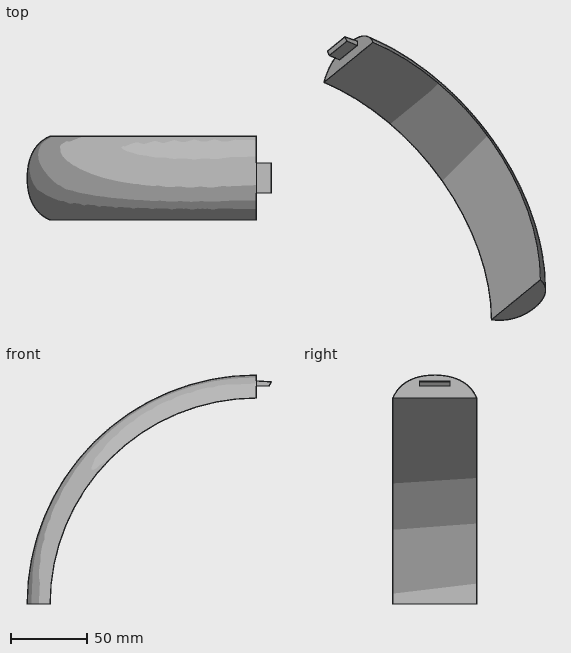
import cadquery as cq

outer_radius = 150.0
section_depth = 15.2
section_width = 55.0
shoulder_half_width = 19.8
shoulder_drop = 5.5
sweep_angle = 90

overall_length = 160
tongue_width = 19.8
tongue_thickness = 3.5
tongue_top_drop = 3.8
tongue_tip_drop = 0.6
tongue_tip_slant = 1.6
tongue_embed = 1.6

inner_radius = outer_radius - section_depth
half_width = section_width / 2


def make_bar():
    """Revolve the domed section from the lower end to the upper end."""
    shoulder_radius = outer_radius - shoulder_drop
    dome_points = [
        (-shoulder_radius, -shoulder_half_width),
        (-outer_radius, 0),
        (-shoulder_radius, shoulder_half_width),
        (-inner_radius, half_width),
    ]
    section = (
        cq.Workplane("XY")
        .moveTo(-inner_radius, -half_width)
        .spline(dome_points, includeCurrent=True)
        .close()
    )
    return section.revolve(sweep_angle, (0, 0, 0), (0, 1, 0))


def make_tongue():
    """Flat tongue with a slanted tip, rooted slightly inside the bar."""
    tip = overall_length - outer_radius
    top = outer_radius - tongue_top_drop
    bottom = top - tongue_thickness
    profile = [
        (-tongue_embed, bottom),
        (tip - tongue_tip_slant, bottom),
        (tip, top - tongue_tip_drop),
        (0, top),
        (-tongue_embed, top),
    ]
    return cq.Workplane("XZ").polyline(profile).close().extrude(tongue_width / 2, both=True)


result = make_bar().union(make_tongue())